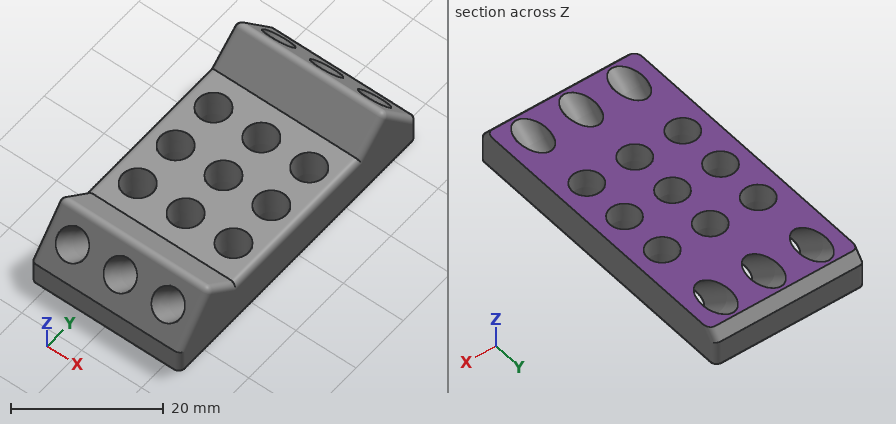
import cadquery as cq
import math

WIDTH = 25.0
LENGTH = 50.0
END_WALL_HEIGHT = 4.0
FLOOR_HEIGHT = 7.0
EDGE_RADIUS = 1.0

OUTER_ANGLE = 50.0
OUTER_FACE_LENGTH = 10.0

HOLE_PITCH = 8.0
HOLES_PER_ROW = 3
MOUTH_DIAMETER = 5.0
BORE_DIAMETER = 4.41
TAPER_DEPTH = 4.2

HALF_LENGTH = LENGTH / 2
SLOPE_COS = math.cos(math.radians(OUTER_ANGLE))
SLOPE_SIN = math.sin(math.radians(OUTER_ANGLE))
CREST_Y = HALF_LENGTH - OUTER_FACE_LENGTH * SLOPE_COS
CREST_Z = END_WALL_HEIGHT + OUTER_FACE_LENGTH * SLOPE_SIN
FLOOR_END_Y = CREST_Y - (CREST_Z - FLOOR_HEIGHT) * SLOPE_SIN / SLOPE_COS

ROW_OFFSETS = [(i - (HOLES_PER_ROW - 1) / 2) * HOLE_PITCH for i in range(HOLES_PER_ROW)]


def make_body():
    """Side outline drawn in the YZ plane, extruded across the width and rounded."""
    outline = [
        (-HALF_LENGTH, 0),
        (-HALF_LENGTH, END_WALL_HEIGHT),
        (-CREST_Y, CREST_Z),
        (-FLOOR_END_Y, FLOOR_HEIGHT),
        (FLOOR_END_Y, FLOOR_HEIGHT),
        (CREST_Y, CREST_Z),
        (HALF_LENGTH, END_WALL_HEIGHT),
        (HALF_LENGTH, 0),
    ]
    block = cq.Workplane("YZ").polyline(outline).close().extrude(WIDTH / 2, both=True)
    crest_edges = block.edges("|X").edges(">Z")
    rim_edges = block.faces("<X or >X").edges("not <Z")
    return block.newObject(crest_edges.vals() + rim_edges.vals()).edges().fillet(EDGE_RADIUS)


def make_hole_cutter(mouth_center, direction, depth):
    """Tapered mouth followed by a straight bore, running from mouth_center along direction."""
    mouth_radius = MOUTH_DIAMETER / 2
    bore_radius = BORE_DIAMETER / 2
    taper = cq.Solid.makeCone(mouth_radius, bore_radius, TAPER_DEPTH, mouth_center, direction)
    bore = cq.Solid.makeCylinder(bore_radius, depth, mouth_center, direction)
    return taper.fuse(bore)


def cut_floor_holes(body):
    """Square grid of holes straight down through the floor."""
    down = cq.Vector(0, 0, -1)
    for x in ROW_OFFSETS:
        for y in ROW_OFFSETS:
            mouth_center = cq.Vector(x, y, FLOOR_HEIGHT)
            body = body.cut(make_hole_cutter(mouth_center, down, FLOOR_HEIGHT))
    return body


def cut_ridge_holes(body):
    """A row of holes in each outer face, square to it and midway up it, leaving through the underside."""
    mouth_y = (HALF_LENGTH + CREST_Y) / 2
    mouth_z = (END_WALL_HEIGHT + CREST_Z) / 2
    depth_on_axis = mouth_z / SLOPE_COS
    through_depth = depth_on_axis + BORE_DIAMETER
    for side in (-1, 1):
        inward = cq.Vector(0, -side * SLOPE_SIN, -SLOPE_COS)
        for x in ROW_OFFSETS:
            mouth_center = cq.Vector(x, side * mouth_y, mouth_z)
            body = body.cut(make_hole_cutter(mouth_center, inward, through_depth))
    return body


result = cut_ridge_holes(cut_floor_holes(make_body()))